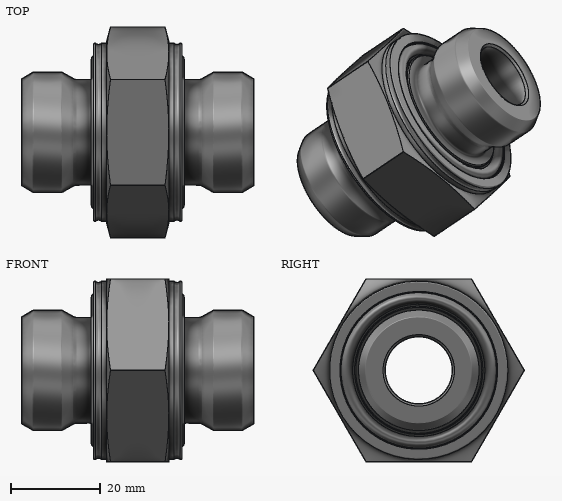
import cadquery as cq
import math


half_length = 26.0
nose_cone_end = 23.4
thread_end = 17.0
relief_start = 14.1
collar_face = 9.95
groove_outer_edge = 9.45
groove_inner_edge = 8.15
hex_half_width = 7.0

bore_radius = 15.0 / 2
thread_radius = 27.0 / 2
neck_radius = 23.7 / 2
nose_radius = 11.95
collar_radius = 39.95 / 2

hex_across_flats = 41.0
hex_across_corners = hex_across_flats / math.cos(math.radians(30))
hex_turned_diameter = 47.25
hex_chamfer_radius = 20.25
hex_chamfer_angle = 15.0

bore_chamfer = 0.5
nose_fillet = 0.25
crest_fillet = 0.6
relief_fillet = 1.75
neck_fillet = 0.8
collar_fillet = 0.3
groove_depth = 0.25
boss_chamfer = 0.25

seat_inner_radius = 28.75 / 2
seat_outer_radius = 35.05 / 2
seat_mouth_chamfer = 0.15
seat_depth = 1.55
ring_height = 0.5
dome_radius = 1.3
dome_centre_radius = 16.1
seat_floor = collar_face - seat_depth


def revolve_about_x(profile):
    """Revolve an XY profile (X axial, Y radial) about the X axis."""
    return profile.revolve(360, (0, 0, 0), (1, 0, 0))


def make_mirrored_pair(body):
    """Return the body and its mirror copy on the other side of X = 0."""
    return [body, body.mirror("YZ")]


def round_circular_edge(body, fillet_radius, axial, radius):
    """Fillet the circular edge at one axial station and radius."""
    margin = 0.025
    position = cq.selectors.BoxSelector(
        (axial - margin, -radius - margin, -radius - margin),
        (axial + margin, radius + margin, radius + margin),
        boundingbox=True,
    )
    return body.edges(position).edges(cq.selectors.RadiusNthSelector(-1)).fillet(fillet_radius)


def make_end():
    """One threaded end with its collar, from the middle plane outward."""
    end = revolve_about_x(
        cq.Workplane("XY")
        .moveTo(0, 0)
        .lineTo(half_length, 0)
        .lineTo(half_length, nose_radius)
        .lineTo(nose_cone_end, thread_radius)
        .lineTo(thread_end, thread_radius)
        .lineTo(relief_start, neck_radius)
        .lineTo(collar_face, neck_radius)
        .lineTo(collar_face, collar_radius)
        .lineTo(0, collar_radius)
        .close()
    )
    rounded_edges = [
        (half_length, nose_radius, nose_fillet),
        (nose_cone_end, thread_radius, crest_fillet),
        (thread_end, thread_radius, crest_fillet),
        (relief_start, neck_radius, relief_fillet),
        (collar_face, neck_radius, neck_fillet),
        (collar_face, collar_radius, collar_fillet),
    ]
    for axial, radius, fillet_radius in rounded_edges:
        end = round_circular_edge(end, fillet_radius, axial, radius)
    return end


def make_hexagon():
    """Hexagon with flats facing +Z and -Z and conically chamfered, slightly turned corners."""
    hexagon = (
        cq.Workplane("YZ")
        .polygon(6, hex_across_corners)
        .extrude(hex_half_width, both=True)
    )
    corner_radius = hex_turned_diameter / 2
    chamfer_slope = math.tan(math.radians(hex_chamfer_angle))
    corner_half_width = hex_half_width - (corner_radius - hex_chamfer_radius) * chamfer_slope
    envelope = revolve_about_x(
        cq.Workplane("XY")
        .moveTo(-hex_half_width, 0)
        .lineTo(-hex_half_width, hex_chamfer_radius)
        .lineTo(-corner_half_width, corner_radius)
        .lineTo(corner_half_width, corner_radius)
        .lineTo(hex_half_width, hex_chamfer_radius)
        .lineTo(hex_half_width, 0)
        .close()
    )
    return hexagon.intersect(envelope)


def make_collar_groove():
    """Shallow round-bottomed groove around the collar, as a cutter."""
    groove_middle = (groove_outer_edge + groove_inner_edge) / 2
    return revolve_about_x(
        cq.Workplane("XY")
        .moveTo(groove_outer_edge, collar_radius)
        .threePointArc(
            (groove_middle, collar_radius - groove_depth),
            (groove_inner_edge, collar_radius),
        )
        .lineTo(groove_inner_edge, collar_radius + groove_depth)
        .lineTo(groove_outer_edge, collar_radius + groove_depth)
        .close()
    )


def make_ring_seat():
    """Annular seat in the collar face with both mouth edges chamfered, as a cutter."""
    return revolve_about_x(
        cq.Workplane("XY")
        .moveTo(seat_floor, seat_inner_radius)
        .lineTo(collar_face - boss_chamfer, seat_inner_radius)
        .lineTo(collar_face, seat_inner_radius - boss_chamfer)
        .lineTo(collar_face, seat_outer_radius + seat_mouth_chamfer)
        .lineTo(collar_face - seat_mouth_chamfer, seat_outer_radius)
        .lineTo(seat_floor, seat_outer_radius)
        .close()
    )


def make_bore():
    """Through bore with a chamfer at each mouth, as a cutter."""
    mouth_radius = bore_radius + bore_chamfer
    return revolve_about_x(
        cq.Workplane("XY")
        .moveTo(-half_length, 0)
        .lineTo(-half_length, mouth_radius)
        .lineTo(-half_length + bore_chamfer, bore_radius)
        .lineTo(half_length - bore_chamfer, bore_radius)
        .lineTo(half_length, mouth_radius)
        .lineTo(half_length, 0)
        .close()
    )


def make_fitting():
    """Fitting body: hexagon, two threaded ends, ring seats, grooves and bore."""
    fitting = make_hexagon()
    for end in make_mirrored_pair(make_end()):
        fitting = fitting.union(end)
    for cutter in (make_ring_seat(), make_collar_groove()):
        for copy in make_mirrored_pair(cutter):
            fitting = fitting.cut(copy)
    return fitting.cut(make_bore())


def make_sealing_ring():
    """Sealing ring with a half-round dome that stands proud of the collar face."""
    crest = collar_face + ring_height
    shoulder = crest - dome_radius
    return revolve_about_x(
        cq.Workplane("XY")
        .moveTo(seat_floor, seat_inner_radius)
        .lineTo(shoulder, seat_inner_radius)
        .lineTo(shoulder, dome_centre_radius - dome_radius)
        .threePointArc(
            (crest, dome_centre_radius),
            (shoulder, dome_centre_radius + dome_radius),
        )
        .lineTo(shoulder, seat_outer_radius)
        .lineTo(seat_floor, seat_outer_radius)
        .close()
    )


fitting = make_fitting()
sealing_rings = make_mirrored_pair(make_sealing_ring())

result = cq.Compound.makeCompound([fitting.val(), *[ring.val() for ring in sealing_rings]])